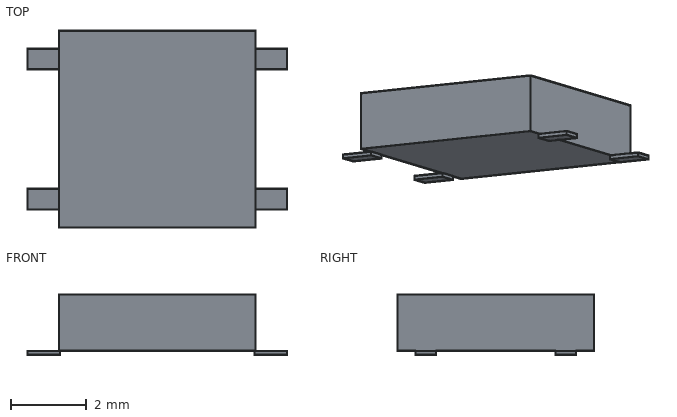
import cadquery as cq

overall_length = 6.86
overall_height = 1.6

housing_side = 5.2

lead_length = 0.865
lead_width = 0.55
lead_thickness = 0.1
lead_pitch = 3.7

housing_height = overall_height - lead_thickness
lead_center_x = (overall_length - lead_length) / 2
lead_center_y = lead_pitch / 2


def make_housing():
    """Square block resting on top of the leads."""
    return (
        cq.Workplane("XY")
        .workplane(offset=lead_thickness)
        .box(housing_side, housing_side, housing_height, centered=(True, True, False))
    )


def make_lead(center_x, center_y):
    """Flat strip whose inner end touches the underside of the housing."""
    return (
        cq.Workplane("XY")
        .center(center_x, center_y)
        .box(lead_length, lead_width, lead_thickness, centered=(True, True, False))
    )


housing = make_housing()

leads = []
for side_x in (-1, 1):
    for side_y in (-1, 1):
        leads.append(make_lead(side_x * lead_center_x, side_y * lead_center_y))

result = cq.Compound.makeCompound([housing.val(), *[lead.val() for lead in leads]])